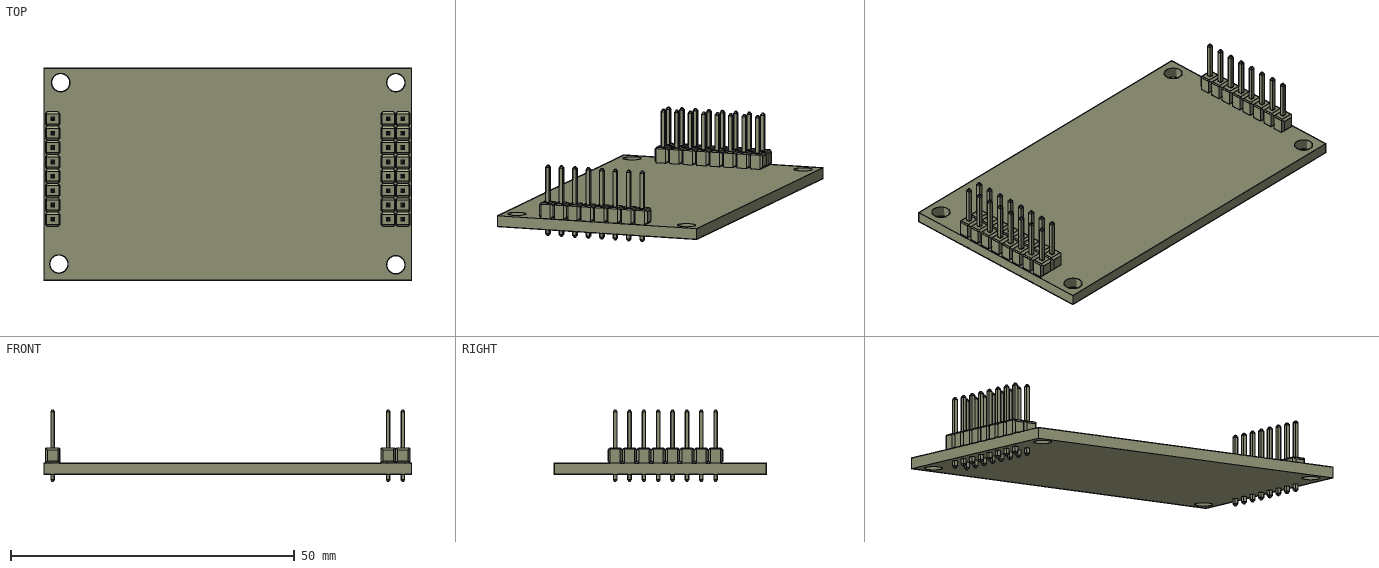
import cadquery as cq

BOARD_LENGTH = 65.0
BOARD_WIDTH = 37.5
BOARD_THICKNESS = 1.95

HOLE_DIAMETER = 3.2
HOLE_CENTRES = [(-29.5, 16.2), (29.7, 16.2), (-29.85, -15.85), (29.7, -16.0)]

PITCH = 2.55
BLOCK_WIDTH = 2.6
BLOCK_HEIGHT = 2.7
END_BEVEL = 0.4
TOP_BEVEL = 0.2

PINS_PER_COLUMN = 8
COLUMN_INSET = 1.55
COLUMN_CENTRE_Y = 0.9
COLUMN_XS = [
    -BOARD_LENGTH / 2 + COLUMN_INSET,
    BOARD_LENGTH / 2 - COLUMN_INSET - BLOCK_WIDTH,
    BOARD_LENGTH / 2 - COLUMN_INSET,
]

PIN_WIDTH = 0.65
PIN_ABOVE_BLOCK = 6.7
PIN_BELOW_BOARD = 1.3
TIP_LENGTH = 0.4
TIP_WIDTH = 0.2


def make_board():
    board = cq.Workplane("XY").rect(BOARD_LENGTH, BOARD_WIDTH).extrude(BOARD_THICKNESS)
    holes = cq.Workplane("XY").pushPoints(HOLE_CENTRES).circle(HOLE_DIAMETER / 2).extrude(BOARD_THICKNESS)
    return board.cut(holes)


def make_block():
    """Header block standing on the board, bevelled where it meets its neighbours."""
    block = cq.Workplane("XY").rect(BLOCK_WIDTH, PITCH).extrude(BLOCK_HEIGHT)
    block = block.faces("<Y or >Y").edges().chamfer(END_BEVEL)
    block = block.faces(">Z").edges("|Y").chamfer(TOP_BEVEL)
    return block.translate((0, 0, BOARD_THICKNESS))


def make_tip(base_z, direction):
    """Tapered pin end growing up (+1) or down (-1) from base_z."""
    return (
        cq.Workplane("XY", origin=(0, 0, base_z))
        .rect(PIN_WIDTH, PIN_WIDTH)
        .workplane(offset=direction * TIP_LENGTH)
        .rect(TIP_WIDTH, TIP_WIDTH)
        .loft(ruled=True)
    )


def make_pin():
    shaft_bottom = TIP_LENGTH - PIN_BELOW_BOARD
    shaft_top = BOARD_THICKNESS + BLOCK_HEIGHT + PIN_ABOVE_BLOCK - TIP_LENGTH
    shaft = (
        cq.Workplane("XY", origin=(0, 0, shaft_bottom))
        .rect(PIN_WIDTH, PIN_WIDTH)
        .extrude(shaft_top - shaft_bottom)
    )
    return shaft.union(make_tip(shaft_top, 1)).union(make_tip(shaft_bottom, -1))


result = make_board()
header_unit = make_block().union(make_pin())
for x in COLUMN_XS:
    for i in range(PINS_PER_COLUMN):
        y = COLUMN_CENTRE_Y + (i - (PINS_PER_COLUMN - 1) / 2) * PITCH
        result = result.union(header_unit.translate((x, y, 0)))